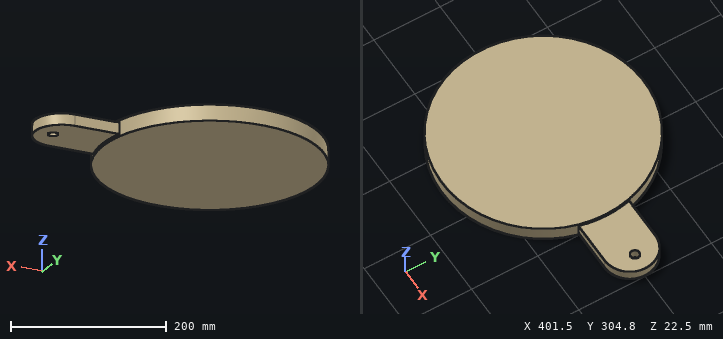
import cadquery as cq

total_length = 401.5
disc_diameter = 304.8
disc_thickness = 22.5

handle_width = 76.3
handle_thickness = 16.0
hole_diameter = 13.0
hole_to_handle_end = 25.5

handle_end = total_length - disc_diameter / 2
round_center = handle_end - handle_width / 2
hole_center = handle_end - hole_to_handle_end


def centered_cylinder(x, diameter, height):
    """Upright cylinder on the X axis, centred on the mid-plane."""
    return cq.Workplane("XY").center(x, 0).circle(diameter / 2).extrude(height / 2, both=True)


def make_handle():
    """Straight tab starting at the disc axis, closed by a half-round end."""
    straight = cq.Workplane("XY").box(
        round_center, handle_width, handle_thickness, centered=(False, True, True)
    )
    return straight.union(centered_cylinder(round_center, handle_width, handle_thickness))


disc = centered_cylinder(0, disc_diameter, disc_thickness)
hanging_hole = centered_cylinder(hole_center, hole_diameter, handle_thickness)

result = disc.union(make_handle()).cut(hanging_hole)